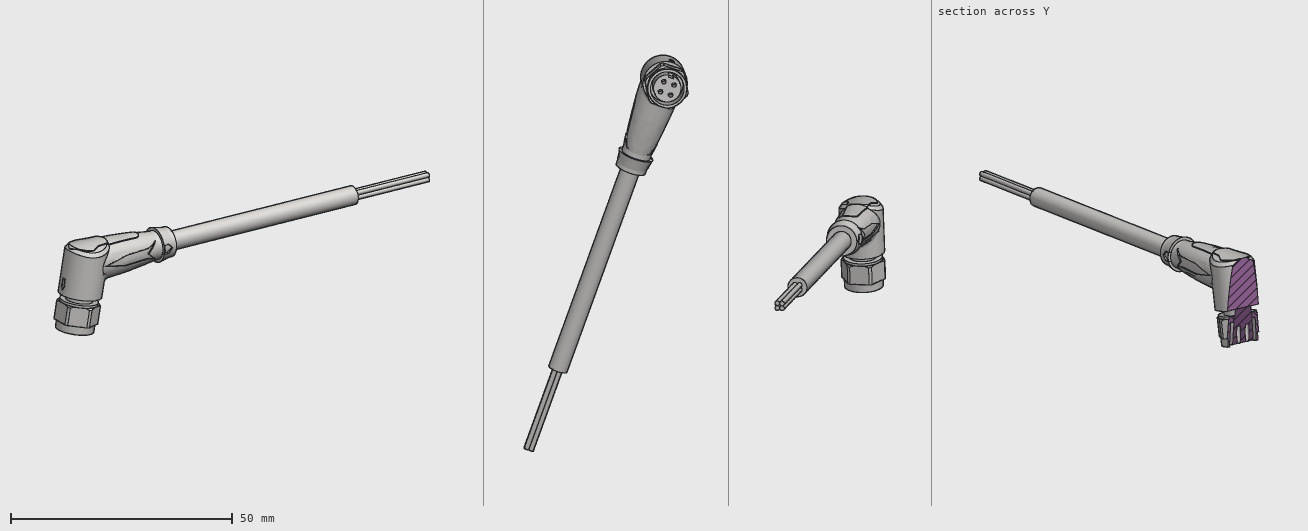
import cadquery as cq
import math

PLUG_TILT = 10.0

CABLE_DIAMETER = 4.4
CABLE_LENGTH = 50.0
WIRE_DIAMETER = 1.1
WIRE_LENGTH = 20.0
WIRE_ROWS = 2

GRIP_BIG_RADIUS = 4.65
GRIP_MIDDLE_Y = 10.5
GRIP_MIDDLE_RADIUS = 4.25
GRIP_SMALL_Y = 17.8
GRIP_SMALL_RADIUS = 3.35
COLLAR_FRONT_Y = 18.9
COLLAR_FRONT_RADIUS = 4.05
COLLAR_LENGTH = 3.6
COLLAR_BACK_Y = COLLAR_FRONT_Y + COLLAR_LENGTH
COLLAR_BACK_RADIUS = 3.5
COLLAR_STRAIGHT_LENGTH = 0.9

POCKET_DEPTH = 0.3
POCKET_FRONT_Y = 19.1
POCKET_HEAD_Y = 20.3
POCKET_TIP_Y = 21.4
POCKET_HALF_HEIGHT = 1.1

RIB_HEIGHT = 0.2
RIB_TIP_Y = 14.2
RIB_TIP_RADIUS = 1.75
RIB_ROOT_Y = 2.0
RIB_ROOT_HALF_WIDTH = 2.6
PAD_HALF_WIDTH = 3.7
PAD_POINT_Y = -4.1
PAD_FLANK_X = 2.5
PAD_FLANK_Y = -2.6
PAD_EDGE = 0.7

SCOOP_DEPTH = 0.35
SCOOP_BACK_Y = 17.4
SCOOP_NOTCH_Y = 14.8
SCOOP_POINT_Y = 2.6
SCOOP_SHOULDER_Y = 8.5
SCOOP_BACK_HALF_HEIGHT = 2.2
SCOOP_HALF_HEIGHT = 1.25

HEAD_RADIUS = 5.0
HEAD_BOTTOM_DROP = 7.5
HEAD_TOP_Z = GRIP_BIG_RADIUS + RIB_HEIGHT
CROWN_RADIUS = 12.0
CROWN_EDGE = 0.7

INNER_CORNER_RADIUS = 1.4
INNER_CORNER_DEPTH = 2.0
SEAM_NEAR_Y = 2.5
SEAM_FAR_Y = 6.0

ARROW_TOP_DROP = 3.6
ARROW_HEAD_DROP = 5.2
ARROW_TIP_DROP = 6.25
ARROW_SHAFT_HALF_WIDTH = 0.42
ARROW_HEAD_HALF_WIDTH = 0.65
ARROW_HEIGHT = 0.12

NUT_TOP_DROP = 8.85
HEX_TOP_DROP = 9.4
HEX_BOTTOM_DROP = 13.9
NUT_BOTTOM_DROP = 15.85
HEX_ACROSS_FLATS = 9.0
HEX_TURN = 30.0
NUT_RADIUS = 5.0
NUT_CHAMFER = 0.3
SKIRT_RADIUS = 4.4
NUT_BORE_RADIUS = 3.8
NUT_WEB = 1.5

CARRIER_RADIUS = 3.1
CARRIER_RECESS = 0.3
SOCKET_COUNT = 4
FIRST_SOCKET_ANGLE = 45.0
SOCKET_RADIUS = 0.5
SOCKET_CIRCLE_RADIUS = 1.7
SOCKET_DEPTH = 4.0
KEY_WIDTH = 1.2
KEY_DEPTH = 0.6


def tilt(body):
    """Lean a body built around the vertical Z axis onto the plug axis."""
    return body.rotate((0, 0, 0), (1, 0, 0), -PLUG_TILT)


def plug_cylinder(radius, top_drop, bottom_drop):
    return cq.Workplane("XY").workplane(offset=-bottom_drop).circle(radius).extrude(bottom_drop - top_drop)


def cable_cylinder(diameter, start_y, length, x=0.0, z=0.0):
    rod = cq.Workplane("XZ").circle(diameter / 2).extrude(-length)
    return rod.translate((x, start_y, z))


def grip_cone(offset=0.0):
    """Swelling grip from the plug axis to the collar, grown by an offset."""
    return (
        cq.Workplane("XY")
        .lineTo(GRIP_BIG_RADIUS + offset, 0)
        .threePointArc(
            (GRIP_MIDDLE_RADIUS + offset, GRIP_MIDDLE_Y),
            (GRIP_SMALL_RADIUS + offset, GRIP_SMALL_Y),
        )
        .lineTo(GRIP_SMALL_RADIUS + offset, COLLAR_FRONT_Y)
        .lineTo(0, COLLAR_FRONT_Y)
        .close()
        .revolve(360, (0, 0, 0), (0, 1, 0))
    )


def collar():
    profile = [
        (0, COLLAR_FRONT_Y),
        (COLLAR_FRONT_RADIUS, COLLAR_FRONT_Y),
        (COLLAR_BACK_RADIUS, COLLAR_BACK_Y - COLLAR_STRAIGHT_LENGTH),
        (COLLAR_BACK_RADIUS, COLLAR_BACK_Y),
        (0, COLLAR_BACK_Y),
    ]
    ring = cq.Workplane("XY").polyline(profile).close().revolve(360, (0, 0, 0), (0, 1, 0))
    pocket_plan = [
        (POCKET_FRONT_Y, -POCKET_HALF_HEIGHT),
        (POCKET_HEAD_Y, -POCKET_HALF_HEIGHT),
        (POCKET_TIP_Y, 0),
        (POCKET_HEAD_Y, POCKET_HALF_HEIGHT),
        (POCKET_FRONT_Y, POCKET_HALF_HEIGHT),
    ]
    pockets = cq.Workplane("YZ").polyline(pocket_plan).close().extrude(COLLAR_FRONT_RADIUS, both=True)
    core = cable_cylinder(2 * (COLLAR_BACK_RADIUS - POCKET_DEPTH), COLLAR_FRONT_Y, COLLAR_LENGTH)
    return ring.cut(pockets.cut(core))


def rib():
    """Rib with a rounded tip at the cable end and a pointed pad at the plug end."""
    arc_y = RIB_TIP_Y - RIB_TIP_RADIUS
    plan = (
        cq.Workplane("XY")
        .moveTo(0, PAD_POINT_Y)
        .threePointArc((-PAD_FLANK_X, PAD_FLANK_Y), (-PAD_HALF_WIDTH, 0))
        .lineTo(-RIB_ROOT_HALF_WIDTH, RIB_ROOT_Y)
        .lineTo(-RIB_TIP_RADIUS, arc_y)
        .threePointArc((0, RIB_TIP_Y), (RIB_TIP_RADIUS, arc_y))
        .lineTo(RIB_ROOT_HALF_WIDTH, RIB_ROOT_Y)
        .lineTo(PAD_HALF_WIDTH, 0)
        .threePointArc((PAD_FLANK_X, PAD_FLANK_Y), (0, PAD_POINT_Y))
        .close()
        .extrude(2 * GRIP_BIG_RADIUS)
    )
    on_grip = plan.intersect(grip_cone(RIB_HEIGHT))
    on_head = plan.intersect(head(HEAD_TOP_Z, PAD_EDGE))
    return on_grip.union(on_head)


def side_scoops():
    """Cutter for the leaf on each side, with a chevron at its back end."""
    leaf = (
        cq.Workplane("YZ")
        .moveTo(SCOOP_NOTCH_Y, 0)
        .lineTo(SCOOP_BACK_Y, SCOOP_BACK_HALF_HEIGHT)
        .lineTo(SCOOP_NOTCH_Y, SCOOP_HALF_HEIGHT)
        .lineTo(SCOOP_SHOULDER_Y, SCOOP_HALF_HEIGHT)
        .lineTo(SCOOP_POINT_Y, 0)
        .lineTo(SCOOP_SHOULDER_Y, -SCOOP_HALF_HEIGHT)
        .lineTo(SCOOP_NOTCH_Y, -SCOOP_HALF_HEIGHT)
        .lineTo(SCOOP_BACK_Y, -SCOOP_BACK_HALF_HEIGHT)
        .close()
        .extrude(2 * HEAD_RADIUS, both=True)
    )
    return leaf.cut(grip_cone(-SCOOP_DEPTH))


def head(top_z, edge):
    """Plug-axis cylinder under a crown that is arched across X, with a bevelled edge."""
    barrel = tilt(plug_cylinder(HEAD_RADIUS, -2 * HEAD_RADIUS, HEAD_BOTTOM_DROP))
    crown = cable_cylinder(2 * CROWN_RADIUS, -2 * HEAD_RADIUS, 4 * HEAD_RADIUS, z=top_z - CROWN_RADIUS)
    return barrel.intersect(crown).faces(">Z").edges().chamfer(edge)


def arrow():
    plan = [
        (-ARROW_SHAFT_HALF_WIDTH, -ARROW_TOP_DROP),
        (ARROW_SHAFT_HALF_WIDTH, -ARROW_TOP_DROP),
        (ARROW_SHAFT_HALF_WIDTH, -ARROW_HEAD_DROP),
        (ARROW_HEAD_HALF_WIDTH, -ARROW_HEAD_DROP),
        (0, -ARROW_TIP_DROP),
        (-ARROW_HEAD_HALF_WIDTH, -ARROW_HEAD_DROP),
        (-ARROW_SHAFT_HALF_WIDTH, -ARROW_HEAD_DROP),
    ]
    block = cq.Workplane("XZ").polyline(plan).close().extrude(2 * HEAD_RADIUS)
    return tilt(block.intersect(plug_cylinder(HEAD_RADIUS + ARROW_HEIGHT, 0, HEAD_BOTTOM_DROP)))


def inner_corner():
    """Lower part of the grip and head, with the corner between them rounded."""
    tall_barrel = tilt(plug_cylinder(HEAD_RADIUS, -2 * HEAD_RADIUS, HEAD_BOTTOM_DROP))
    joined = grip_cone().union(tall_barrel)
    seam = cq.selectors.BoxSelector(
        (-HEAD_RADIUS, SEAM_NEAR_Y, -HEAD_RADIUS),
        (HEAD_RADIUS, SEAM_FAR_Y, HEAD_RADIUS),
    )
    rounded = joined.edges(seam).fillet(INNER_CORNER_RADIUS)
    below = (
        cq.Workplane("XY")
        .workplane(offset=-INNER_CORNER_DEPTH)
        .rect(4 * HEAD_RADIUS, 4 * COLLAR_BACK_Y)
        .extrude(-4 * HEAD_RADIUS)
    )
    return rounded.intersect(below)


def make_housing():
    body = grip_cone().union(head(HEAD_TOP_Z - RIB_HEIGHT, CROWN_EDGE)).union(inner_corner())
    body = body.cut(side_scoops())
    return body.union(rib()).union(collar()).union(arrow())


def make_nut():
    hexagon = (
        cq.Workplane("XY")
        .workplane(offset=-HEX_BOTTOM_DROP)
        .polygon(6, HEX_ACROSS_FLATS, circumscribed=True)
        .extrude(HEX_BOTTOM_DROP - HEX_TOP_DROP)
        .rotate((0, 0, 0), (0, 0, 1), HEX_TURN)
    )
    envelope = plug_cylinder(NUT_RADIUS, HEX_TOP_DROP, HEX_BOTTOM_DROP).faces(">Z").chamfer(NUT_CHAMFER)
    nut = hexagon.intersect(envelope)
    nut = nut.union(plug_cylinder(SKIRT_RADIUS, NUT_TOP_DROP, NUT_BOTTOM_DROP))
    nut = nut.cut(plug_cylinder(CARRIER_RADIUS, NUT_TOP_DROP, NUT_BOTTOM_DROP))
    nut = nut.cut(plug_cylinder(NUT_BORE_RADIUS, NUT_TOP_DROP + NUT_WEB, NUT_BOTTOM_DROP))
    return tilt(nut)


def make_carrier():
    face_drop = NUT_BOTTOM_DROP - CARRIER_RECESS
    carrier = plug_cylinder(CARRIER_RADIUS, HEAD_BOTTOM_DROP, face_drop)
    socket = plug_cylinder(SOCKET_RADIUS, face_drop - SOCKET_DEPTH, face_drop)
    for index in range(SOCKET_COUNT):
        angle = math.radians(FIRST_SOCKET_ANGLE + index * 360 / SOCKET_COUNT)
        x = SOCKET_CIRCLE_RADIUS * math.cos(angle)
        y = SOCKET_CIRCLE_RADIUS * math.sin(angle)
        carrier = carrier.cut(socket.translate((x, y, 0)))
    keyway = cq.Workplane("XY").box(KEY_WIDTH, 2 * KEY_DEPTH, 2 * SOCKET_DEPTH)
    return tilt(carrier.cut(keyway.translate((0, -CARRIER_RADIUS, -face_drop))))


def make_wire(column, row):
    x = (column - (WIRE_ROWS - 1) / 2) * WIRE_DIAMETER
    z = (row - (WIRE_ROWS - 1) / 2) * WIRE_DIAMETER
    return cable_cylinder(WIRE_DIAMETER, COLLAR_BACK_Y + CABLE_LENGTH, WIRE_LENGTH, x, z)


housing = make_housing()
nut = make_nut()
carrier = make_carrier()
cable = cable_cylinder(CABLE_DIAMETER, COLLAR_BACK_Y, CABLE_LENGTH)
wires = [make_wire(column, row) for column in range(WIRE_ROWS) for row in range(WIRE_ROWS)]

result = cq.Compound.makeCompound(
    [housing.val(), nut.val(), carrier.val(), cable.val()] + [wire.val() for wire in wires]
)